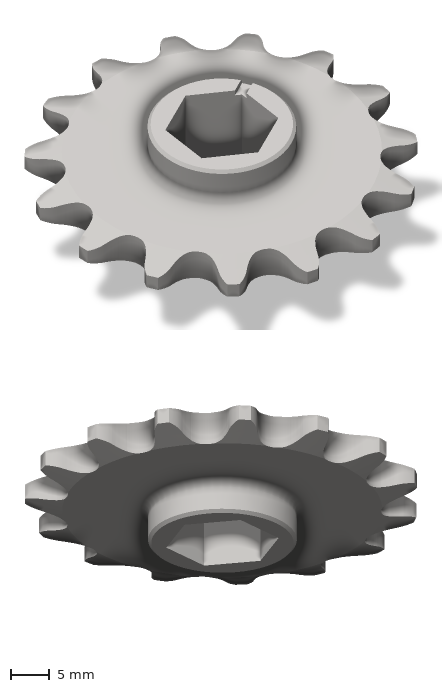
import math

import cadquery as cq

tooth_count = 15
chain_pitch = 9.55
roller_diameter = 5.1
seat_clearance = 0.075

plate_thickness = 4.4
tip_thickness = 2.0
flat_face_radius = 20.5

hub_height = 13.5
hub_radius = 9.55
hub_chamfer = 0.4
hub_fillet = 1.0
hex_across_flats = 12.7

mark_width = 1.6
mark_depth = 0.8

tooth_step = 360 / tooth_count
half_step = math.radians(tooth_step / 2)
pitch_radius = chain_pitch / 2 / math.sin(half_step)
tip_radius = chain_pitch / 2 * (0.6 + 1 / math.tan(half_step))


def polar(center, radius, degrees):
    angle = math.radians(degrees)
    return (center[0] + radius * math.cos(angle), center[1] + radius * math.sin(angle))


def make_plate():
    """Disc whose faces taper from the flat face out to the tooth tips."""
    half_plate = plate_thickness / 2
    half_tip = tip_thickness / 2
    profile = (
        cq.Workplane("XZ")
        .moveTo(0, -half_plate)
        .lineTo(flat_face_radius, -half_plate)
        .lineTo(tip_radius, -half_tip)
        .lineTo(tip_radius, half_tip)
        .lineTo(flat_face_radius, half_plate)
        .lineTo(0, half_plate)
        .close()
    )
    return profile.revolve(360, (0, 0, 0), (0, 1, 0))


def make_tooth_gap():
    """Standard roller-chain gap, opening toward +Y with the roller seat on the pitch circle.

    Each flank runs from the seat arc through a hollow working arc and a short
    straight to a rounded topping arc, which ends on the tooth centerline.
    """
    seat_angle = 35 + 60 / tooth_count
    working_angle = 18 - 56 / tooth_count
    topping_angle = 17 - 64 / tooth_count
    flank_angle = working_angle - seat_angle
    chord_angle = -tooth_step / 2

    seat_radius = (1.005 * roller_diameter + seat_clearance) / 2
    working_offset = 0.8 * roller_diameter
    working_radius = seat_radius + working_offset
    topping_offset = 1.4 * roller_diameter
    topping_radius = (
        working_offset * math.cos(math.radians(working_angle))
        + topping_offset * math.cos(math.radians(topping_angle))
        - working_radius
    )

    seat_center = (0, pitch_radius)
    working_center = polar(seat_center, working_offset, 180 - seat_angle)
    topping_center = polar(seat_center, topping_offset, chord_angle)

    apex_height = math.sqrt(topping_radius**2 - (topping_offset - chain_pitch / 2) ** 2)
    chord_middle = polar(seat_center, chain_pitch / 2, chord_angle)
    apex = polar(chord_middle, apex_height, chord_angle + 90)
    apex_angle = math.degrees(math.atan2(apex[1] - topping_center[1], apex[0] - topping_center[0]))

    seat_end = polar(seat_center, seat_radius, -seat_angle)
    working_middle = polar(working_center, working_radius, -seat_angle + working_angle / 2)
    working_end = polar(working_center, working_radius, flank_angle)
    topping_start_angle = flank_angle + 180
    topping_start = polar(topping_center, topping_radius, topping_start_angle)
    topping_middle = polar(topping_center, topping_radius, (topping_start_angle + apex_angle) / 2)
    root = (0, pitch_radius - seat_radius)

    def mirrored(point):
        return (-point[0], point[1])

    outline = (
        cq.Workplane("XY", origin=(0, 0, -plate_thickness))
        .moveTo(*apex)
        .threePointArc(topping_middle, topping_start)
        .lineTo(*working_end)
        .threePointArc(working_middle, seat_end)
        .threePointArc(root, mirrored(seat_end))
        .threePointArc(mirrored(working_middle), mirrored(working_end))
        .lineTo(*mirrored(topping_start))
        .threePointArc(mirrored(topping_middle), mirrored(apex))
        .close()
    )
    return outline.extrude(2 * plate_thickness)


def cut_teeth(plate):
    """Cut a gap on each side of a tooth pointing along -Y, and so on around the plate."""
    gap = make_tooth_gap()
    for index in range(tooth_count):
        turned_gap = gap.rotate((0, 0, 0), (0, 0, 1), index * tooth_step)
        plate = plate.cut(turned_gap)
    return plate


def make_hub():
    """Chamfered hub with a fillet flare where it meets each face of the plate."""
    half_plate = plate_thickness / 2
    half_hub = hub_height / 2
    flare_radius = hub_radius + hub_fillet
    flare_height = half_plate + hub_fillet
    upper_profile = (
        cq.Workplane("XZ")
        .lineTo(flare_radius, 0)
        .lineTo(flare_radius, half_plate)
        .threePointArc(polar((flare_radius, flare_height), hub_fillet, 225), (hub_radius, flare_height))
        .lineTo(hub_radius, half_hub - hub_chamfer)
        .lineTo(hub_radius - hub_chamfer, half_hub)
        .lineTo(0, half_hub)
        .close()
    )
    upper_hub = upper_profile.revolve(360, (0, 0, 0), (0, 1, 0))
    return upper_hub.union(upper_hub.mirror("XY"))


def make_bore():
    """Through hexagon with corners on the Y axis."""
    across_corners = hex_across_flats / math.cos(math.radians(30))
    bore = cq.Workplane("XY").polygon(6, across_corners).extrude(hub_height, both=True)
    return bore.rotate((0, 0, 0), (0, 0, 1), 30)


def make_timing_mark():
    """Shallow square groove from the bore out through the +Y side of the hub."""
    groove = cq.Workplane("XY", origin=(0, 0, hub_height / 2 - mark_depth))
    return groove.box(mark_width, hub_radius + hub_fillet, hub_height, centered=(True, False, False))


sprocket = cut_teeth(make_plate()).union(make_hub())
result = sprocket.cut(make_bore()).cut(make_timing_mark())